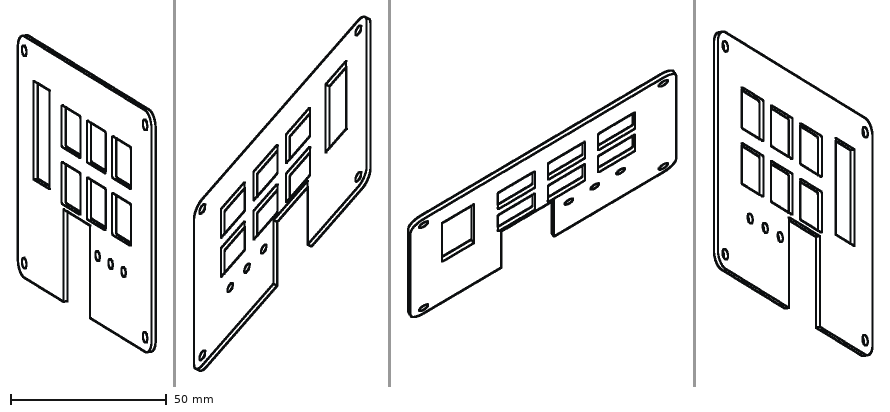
import cadquery as cq

plate_width = 100.95
plate_height = 80.95
plate_thickness = 1.5
corner_radius = 5.0

mount_hole_diameter = 3.4
mount_hole_inset = 4.9

key_columns = 3
key_rows = 2
key_size = 14.0
key_pitch = 19.05
key_corner_radius = 0.5
key_grid_center = (8.75, 8.6)

window_width = 12.0
window_height = 33.0
window_center = (-32.5, 10.95)

notch_width = 20.0
notch_depth = 31.0
notch_center_x = -6.0

small_hole_diameter = 3.2
small_hole_count = 3
small_hole_pitch = 9.8
small_hole_row_center = (19.5, -18.1)


def sketch_plane():
    """XZ plane through the middle of the plate, with local y along Z."""
    return cq.Workplane("XZ")


def block(width, height, center):
    """Rectangular block as thick as the plate, centred at (x, z)."""
    return sketch_plane().center(*center).rect(width, height).extrude(plate_thickness / 2, both=True)


def cylinders(diameter, centers):
    """Round cutters along Y at the given (x, z) centers."""
    return sketch_plane().pushPoints(centers).circle(diameter / 2).extrude(plate_thickness / 2, both=True)


def make_plate():
    return block(plate_width, plate_height, (0, 0)).edges("|Y").fillet(corner_radius)


def mount_hole_cutters():
    hole_x = plate_width / 2 - mount_hole_inset
    hole_z = plate_height / 2 - mount_hole_inset
    centers = [(sx * hole_x, sz * hole_z) for sx in (-1, 1) for sz in (-1, 1)]
    return cylinders(mount_hole_diameter, centers)


def key_cutters():
    key = block(key_size, key_size, key_grid_center).edges("|Y").fillet(key_corner_radius)
    cutters = cq.Workplane("XZ")
    for column in range(key_columns):
        for row in range(key_rows):
            dx = (column - (key_columns - 1) / 2) * key_pitch
            dz = (row - (key_rows - 1) / 2) * key_pitch
            cutters = cutters.add(key.translate((dx, 0, dz)))
    return cutters.combine()


def window_cutter():
    return block(window_width, window_height, window_center)


def notch_cutter():
    notch_center_z = (notch_depth - plate_height) / 2
    return block(notch_width, notch_depth, (notch_center_x, notch_center_z))


def small_hole_cutters():
    row_x, row_z = small_hole_row_center
    first_x = row_x - (small_hole_count - 1) / 2 * small_hole_pitch
    centers = [(first_x + i * small_hole_pitch, row_z) for i in range(small_hole_count)]
    return cylinders(small_hole_diameter, centers)


result = (
    make_plate()
    .cut(mount_hole_cutters())
    .cut(key_cutters())
    .cut(window_cutter())
    .cut(notch_cutter())
    .cut(small_hole_cutters())
)